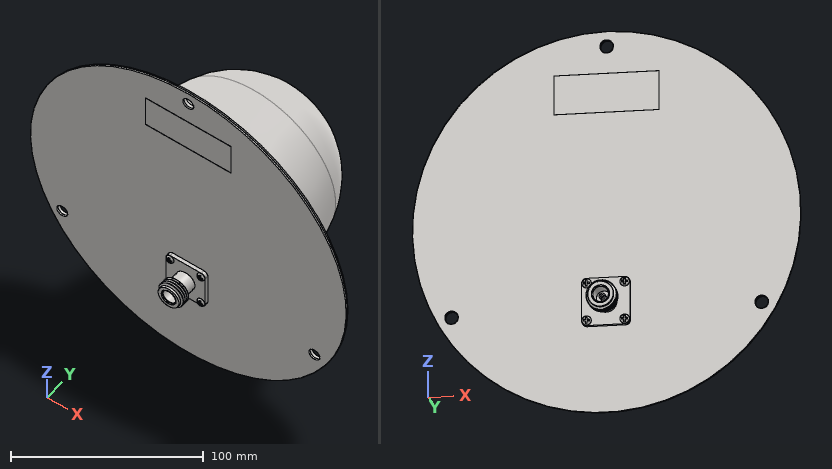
import cadquery as cq
import math


disc_diameter = 205.0
plate_thickness = 1.0
flange_thickness = 1.8
mounting_hole_diameter = 7.0
mounting_hole_circle_radius = 94.5
mounting_hole_angles = (90, 210, 330)

label_width = 55.5
label_height = 21.0
label_depth = 0.1
label_center_z = 69.5

dome_height = 96.1
crown_radius = 55.4
draft_angle = math.radians(16.7)
dome_root_fillet = 8.8

connector_center_z = -43.3
connector_flange_side = 25.5
connector_flange_thickness = 2.3
screw_spacing = 20.0
screw_head_diameter = 5.0
screw_head_height = 1.2
screw_head_rounding = 1.13
screw_slot_width = 0.8
screw_slot_length = 3.0
screw_slot_depth = 0.72

connector_length = 17.0
neck_diameter = 12.0
thread_diameter = 16.0
thread_root_diameter = 14.8
lip_diameter = 13.5
thread_pitch = 1.54
thread_ridges = 4
lip_length = 1.5

socket_diameter = 9.5
socket_depth = 10.2
socket_step_diameter = 8.2
socket_step_depth = 0.8
contact_diameter = 3.3
contact_recess = 5.3
contact_bore_diameter = 1.6
contact_bore_depth = 3.0

disc_radius = disc_diameter / 2
flange_back = plate_thickness + flange_thickness
connector_face = -connector_flange_thickness


def cylinder(diameter, start_y, length, center_x=0, center_z=0):
    """Cylinder along Y from start_y towards +Y."""
    base = cq.Vector(center_x, start_y, center_z)
    return cq.Workplane(cq.Solid.makeCylinder(diameter / 2, length, base, cq.Vector(0, 1, 0)))


def cut_mounting_holes(body):
    for angle in mounting_hole_angles:
        x = mounting_hole_circle_radius * math.cos(math.radians(angle))
        z = mounting_hole_circle_radius * math.sin(math.radians(angle))
        body = body.cut(cylinder(mounting_hole_diameter, 0, flange_back, x, z))
    return body


def make_radome():
    """Dome on a flange whose rim is a quarter round as high as the flange is thick."""
    crown_center = dome_height - crown_radius
    tangent_r = crown_radius * math.cos(draft_angle)
    tangent_y = crown_center + crown_radius * math.sin(draft_angle)
    mid_angle = (draft_angle + math.pi / 2) / 2
    crown_mid = (
        crown_radius * math.cos(mid_angle),
        crown_center + crown_radius * math.sin(mid_angle),
    )
    root_r = tangent_r + (tangent_y - flange_back) * math.tan(draft_angle)
    fillet_center_r = root_r + dome_root_fillet * math.tan((math.pi / 2 - draft_angle) / 2)
    fillet_center_y = flange_back + dome_root_fillet

    def fillet_point(angle):
        return (
            fillet_center_r + dome_root_fillet * math.cos(angle),
            fillet_center_y + dome_root_fillet * math.sin(angle),
        )

    cone_side = math.pi + draft_angle
    flange_side = 3 * math.pi / 2
    profile = (
        cq.Workplane("XY")
        .moveTo(0, plate_thickness)
        .lineTo(disc_radius, plate_thickness)
        .radiusArc((disc_radius - flange_thickness, flange_back), -flange_thickness)
        .lineTo(*fillet_point(flange_side))
        .threePointArc(fillet_point((cone_side + flange_side) / 2), fillet_point(cone_side))
        .lineTo(tangent_r, tangent_y)
        .threePointArc(crown_mid, (0, dome_height))
        .close()
    )
    return cut_mounting_holes(profile.revolve(360, (0, 0, 0), (0, 1, 0)))


def make_screw_head(x, z):
    """Rounded screw head with a cross recess."""
    head_top = connector_face - screw_head_height
    head = cylinder(screw_head_diameter, head_top, screw_head_height, x, z)
    head = head.faces("<Y").edges().fillet(screw_head_rounding)
    slot_center = (x, head_top + screw_slot_depth / 2, z)
    slot = cq.Workplane().box(screw_slot_length, screw_slot_depth, screw_slot_width)
    cross_slot = cq.Workplane().box(screw_slot_width, screw_slot_depth, screw_slot_length)
    return head.cut(slot.union(cross_slot).translate(slot_center))


def make_connector_flange():
    corner_radius = (connector_flange_side - screw_spacing) / 2
    flange = (
        cq.Workplane()
        .box(connector_flange_side, connector_flange_thickness, connector_flange_side)
        .edges("|Y")
        .fillet(corner_radius)
        .translate((0, connector_face / 2, connector_center_z))
    )
    for x_side in (-1, 1):
        for z_side in (-1, 1):
            x = x_side * screw_spacing / 2
            z = connector_center_z + z_side * screw_spacing / 2
            flange = flange.union(make_screw_head(x, z))
    return flange


def make_barrel():
    """Neck, ridged thread and end lip, revolved about the connector axis."""
    lip_start = -connector_length + lip_length
    thread_start = lip_start + thread_ridges * thread_pitch
    neck_r = neck_diameter / 2
    lip_r = lip_diameter / 2
    profile = (
        cq.Workplane("XY")
        .moveTo(0, connector_face)
        .lineTo(neck_r, connector_face)
        .lineTo(neck_r, thread_start)
        .lineTo(lip_r, thread_start)
    )
    for ridge in range(thread_ridges):
        ridge_start = thread_start - ridge * thread_pitch
        if ridge > 0:
            profile = profile.lineTo(thread_root_diameter / 2, ridge_start)
        profile = profile.lineTo(thread_diameter / 2, ridge_start - thread_pitch / 2)
    profile = profile.lineTo(lip_r, lip_start).lineTo(lip_r, -connector_length)
    profile = profile.lineTo(0, -connector_length).close()
    barrel = profile.revolve(360, (0, 0, 0), (0, 1, 0))

    barrel = barrel.cut(cylinder(socket_diameter, -connector_length, socket_step_depth))
    barrel = barrel.cut(cylinder(socket_step_diameter, -connector_length, socket_depth))
    contact_tip = -connector_length + contact_recess
    contact = cylinder(contact_diameter, contact_tip, socket_depth - contact_recess)
    contact = contact.cut(cylinder(contact_bore_diameter, contact_tip, contact_bore_depth))
    return barrel.union(contact).translate((0, 0, connector_center_z))


def make_ground_plate():
    """Plate that carries the connector."""
    plate = cut_mounting_holes(cylinder(disc_diameter, 0, plate_thickness))
    label = cq.Workplane().box(label_width, label_depth, label_height)
    plate = plate.cut(label.translate((0, label_depth / 2, label_center_z)))
    return plate.union(make_connector_flange()).union(make_barrel())


radome = make_radome()
ground_plate = make_ground_plate()

result = cq.Compound.makeCompound([radome.val(), ground_plate.val()])